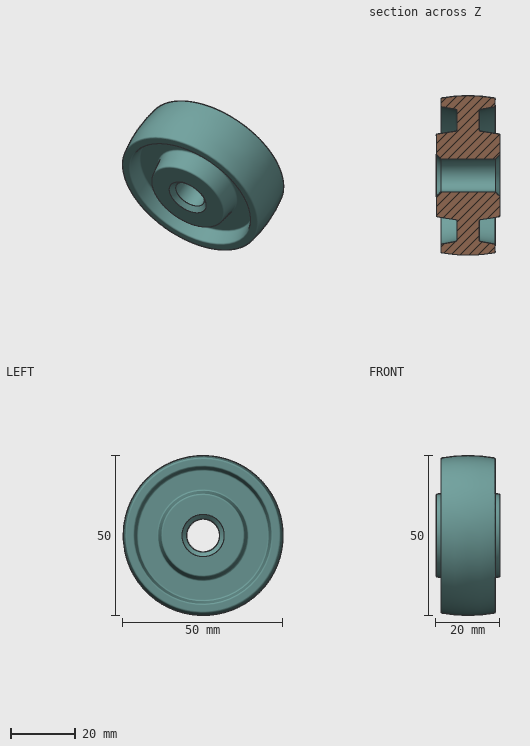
import cadquery as cq

wheel_radius = 25.0
rim_edge_radius = 24.2
rim_half_width = 8.5
hub_half_width = 10.0
web_half_width = 3.5

recess_mouth_radius = 21.45
recess_floor_radius = 20.55
hub_face_radius = 12.95
hub_base_radius = 13.95
edge_fillet = 0.5

bore_radius = 5.1
bore_chamfer = 1.5


def wheel_body():
    """Crowned, recessed wheel revolved from its half section."""
    section = (
        cq.Workplane("XY")
        .moveTo(-hub_half_width, 0)
        .lineTo(-hub_half_width, hub_face_radius)
        .lineTo(-web_half_width, hub_base_radius)
        .lineTo(-web_half_width, recess_floor_radius)
        .lineTo(-rim_half_width, recess_mouth_radius)
        .lineTo(-rim_half_width, rim_edge_radius)
        .threePointArc((0, wheel_radius), (rim_half_width, rim_edge_radius))
        .lineTo(rim_half_width, recess_mouth_radius)
        .lineTo(web_half_width, recess_floor_radius)
        .lineTo(web_half_width, hub_base_radius)
        .lineTo(hub_half_width, hub_face_radius)
        .lineTo(hub_half_width, 0)
        .close()
    )
    return section.revolve(360, (0, 0, 0), (1, 0, 0))


def axle_bore():
    """Cutter for the through bore, with a countersink at both ends."""
    mouth_radius = bore_radius + bore_chamfer
    chamfer_start = hub_half_width - bore_chamfer
    section = (
        cq.Workplane("XY")
        .moveTo(-hub_half_width, 0)
        .lineTo(-hub_half_width, mouth_radius)
        .lineTo(-chamfer_start, bore_radius)
        .lineTo(chamfer_start, bore_radius)
        .lineTo(hub_half_width, mouth_radius)
        .lineTo(hub_half_width, 0)
        .close()
    )
    return section.revolve(360, (0, 0, 0), (1, 0, 0))


rounded_wheel = wheel_body().edges("%CIRCLE").fillet(edge_fillet)
result = rounded_wheel.cut(axle_bore())